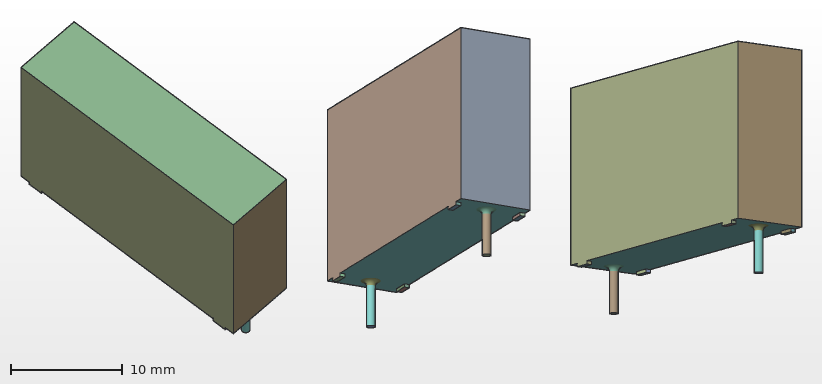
import cadquery as cq

body_length = 26.0
body_width = 7.0
overall_height = 20.5

foot_length = 1.5
foot_width = 0.5
foot_height = 0.3

lead_pitch = 22.5
lead_diameter = 0.8
lead_reach = 4.3
flare_radius = 0.5

body_height = overall_height - lead_reach
lead_radius = lead_diameter / 2
lead_tip_z = foot_height - lead_reach


def make_body():
    """Plain rectangular case, raised above the seating plane by its feet."""
    return (
        cq.Workplane("XY")
        .workplane(offset=foot_height)
        .rect(body_length, body_width)
        .extrude(body_height)
    )


def make_foot(x, side):
    """Standoff foot flush with the long face on the given side (-1 or +1)."""
    foot_y = side * (body_width - foot_width) / 2
    return cq.Workplane("XY").center(x, foot_y).rect(foot_length, foot_width).extrude(foot_height)


def make_lead(x):
    """Round lead with a concave flare up to the body, revolved about its own axis."""
    flare_outer_radius = lead_radius + flare_radius
    flare_start_z = foot_height - flare_radius
    profile = (
        cq.Workplane("XZ")
        .moveTo(0, lead_tip_z)
        .lineTo(lead_radius, lead_tip_z)
        .lineTo(lead_radius, flare_start_z)
        .radiusArc((flare_outer_radius, foot_height), flare_radius)
        .lineTo(0, foot_height)
        .close()
    )
    return profile.revolve(360, (0, 0, 0), (0, 1, 0)).translate((x, 0, 0))


result = make_body()
for end in (-1, 1):
    lead_x = end * lead_pitch / 2
    result = result.union(make_lead(lead_x))
    for side in (-1, 1):
        result = result.union(make_foot(lead_x, side))